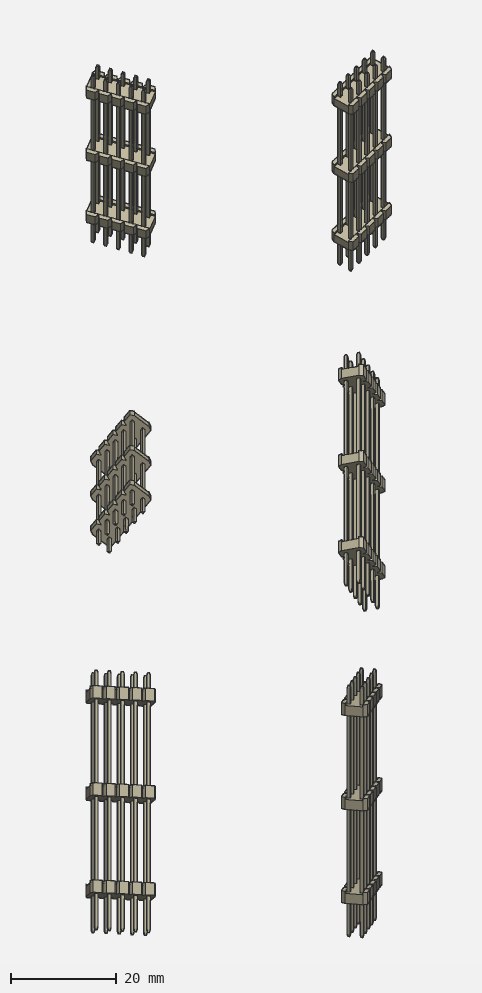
import cadquery as cq

COLUMNS = 5
ROWS = 2
ROW_LENGTH = 12.7
PITCH = ROW_LENGTH / COLUMNS

PIN_LENGTH = 50.25
PIN_WIDTH = PITCH / 4
TIP_WIDTH = 0.35
TIP_LENGTH = 0.5

BLOCK_COUNT = 3
BLOCK_LENGTH = ROW_LENGTH
BLOCK_DEPTH = ROWS * PITCH
BLOCK_HEIGHT = 2.4
BLOCK_SPACING = 18.8
TOP_PIN_EXPOSURE = 3.25

NOTCH_HALF_WIDTH = 0.4
NOTCH_DEPTH = 0.8
LIP_WIDTH = 0.85
CHANNEL_DEPTH = 0.4


def make_block():
    """Notched block with an open-ended channel, its base at Z = 0."""
    block = cq.Workplane("XY").box(BLOCK_LENGTH, BLOCK_DEPTH, BLOCK_HEIGHT, centered=(True, True, False))

    for boundary in range(COLUMNS + 1):
        x = boundary * PITCH - BLOCK_LENGTH / 2
        for side in (-1, 1):
            outer_y = side * BLOCK_DEPTH / 2
            notch = (
                cq.Workplane("XY")
                .moveTo(x - NOTCH_HALF_WIDTH, outer_y)
                .lineTo(x + NOTCH_HALF_WIDTH, outer_y)
                .lineTo(x, outer_y - side * NOTCH_DEPTH)
                .close()
                .extrude(BLOCK_HEIGHT)
            )
            block = block.cut(notch)

    channel = (
        cq.Workplane("XY")
        .workplane(offset=BLOCK_HEIGHT - CHANNEL_DEPTH)
        .rect(BLOCK_LENGTH, BLOCK_DEPTH - 2 * LIP_WIDTH)
        .extrude(CHANNEL_DEPTH)
    )
    return block.cut(channel)


def make_tip(base_z, direction):
    """Tapered pin end pointing up (direction 1) or down (direction -1)."""
    return (
        cq.Workplane("XY")
        .workplane(offset=base_z)
        .rect(PIN_WIDTH, PIN_WIDTH)
        .workplane(offset=direction * TIP_LENGTH)
        .rect(TIP_WIDTH, TIP_WIDTH)
        .loft(ruled=True)
    )


def make_pin():
    """Full-length pin centred on the origin."""
    shank_length = PIN_LENGTH - 2 * TIP_LENGTH
    pin = cq.Workplane("XY").box(PIN_WIDTH, PIN_WIDTH, shank_length)
    for direction in (-1, 1):
        pin = pin.union(make_tip(direction * shank_length / 2, direction))
    return pin


result = cq.Workplane("XY")
block = make_block()
top_block_base = PIN_LENGTH / 2 - TOP_PIN_EXPOSURE - BLOCK_HEIGHT
for level in range(BLOCK_COUNT):
    result = result.union(block.translate((0, 0, top_block_base - level * BLOCK_SPACING)))

pin = make_pin()
for column in range(COLUMNS):
    for row in range(ROWS):
        x = (column - (COLUMNS - 1) / 2) * PITCH
        y = (row - (ROWS - 1) / 2) * PITCH
        result = result.union(pin.translate((x, y, 0)))